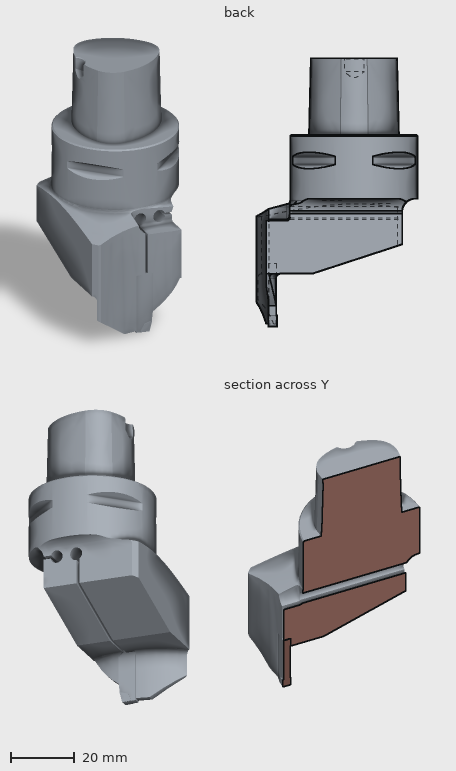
import cadquery as cq
import math

FAR = 50.4
DEEP = -100.8
overall_length = 84.0

shank_height = 24.0
lobe_reach = 15.0
flank_reach = 13.1
flank_half_angle = 28.0
shank_taper = 0.6

notch_radius = 3.8
notch_y = -14.5
notch_chamfer = 0.25
notch_floor_z = 19.9

collar_radius = 40.0 / 2
collar_height = 20.0
collar_chamfer = 0.4
slot_angles = (45, 135, 225, 315)
slot_z = -8.0
slot_floor_height = 2.5
slot_mouth_height = 5.2
slot_floor_distance = 17.6
slot_floor_fillet = 0.3

block_left = -15.1
block_front = -21.0
block_back = 10.4
block_bottom = -43.4
bottom_slope_left_z = -34.3
bottom_slope_right_x = 12.9
corner_chamfer = 1.6
flare_radius = 4.0
cone_angle = 15.0
cone_rim_z = -21.25
neck_fillet = 1.0

block_right = 30.6
concave_middle_x = 26.6
concave_middle_y = -0.8
concave_radius = 42.0
right_back_x = 27.4

pocket_x = 20.1
pocket_wall_y = -4.0
pocket_floor_z = -26.9
pocket_side_fillet = 4.4
pocket_end_fillet = 1.1

relief_radius = 2.0
relief_z = -24.4
outer_relief_y = 6.05
inner_relief_y = -0.5
slit_width = 1.0
back_slit_z = -24.2
jaw_slit_y = -1.2

blade_bottom = -59.1
blade_front = -20.0
blade_front_z = -51.2
blade_toe_y = -9.15
blade_heel_z = -53.5
blade_back_y = 9.9
blade_back_mid_y = 5.4
blade_back_mid_z = -49.7
convex_radius = 30.2
convex_middle_x = 24.3
convex_middle_y = -1.85
blade_fillet = 1.4
blade_overlap = 0.8

insert_left = convex_middle_x
insert_right = concave_middle_x
insert_front = -4.8
insert_back = 0.9
insert_top = -40.2
insert_tip_z = shank_height - overall_length
insert_front_rise = 0.2
insert_front_z = insert_tip_z + insert_front_rise
insert_tip_y = -0.3
clearance_chamfer = 1.3
head_back_y = 0.6
head_back_z = -56.45
head_top_y = -2.2
head_top_z = -57.3
head_front_y = -3.45
head_front_z = -59.5
head_overhang = 0.25


def box(x0, x1, y0, y1, z0, z1):
    return cq.Workplane("XY").box(x1 - x0, y1 - y0, z1 - z0, centered=False).translate((x0, y0, z0))


def extrude_along_x(outline_yz, x0, x1):
    return outline_yz.extrude(x1 - x0).translate((x0, 0, 0))


def polar(radius, degrees):
    return (radius * math.cos(math.radians(degrees)), radius * math.sin(math.radians(degrees)))


def lobed_outline(z, inset):
    """Closed outline of three lobe arcs and three flank arcs, tangent to each other."""
    half = math.radians(flank_half_angle)
    lobe_centre = (lobe_reach - flank_reach) / (0.5 - math.cos(math.pi / 6) * math.tan(half / 2))
    flank_centre = lobe_centre * (math.cos(math.pi / 6) / math.tan(half) - 0.5)
    flank_radius = flank_reach + flank_centre - inset
    joint_x = flank_radius * math.sin(half)
    joint_y = flank_radius * math.cos(half) - flank_centre
    joint_distance = math.hypot(joint_x, joint_y)
    joint_angle = math.degrees(math.atan2(joint_x, joint_y))
    outline = cq.Workplane("XY", origin=(0, 0, z)).moveTo(*polar(joint_distance, -90 - joint_angle))
    for flank_angle in (-90, 30, 150):
        outline = outline.threePointArc(
            polar(flank_reach - inset, flank_angle),
            polar(joint_distance, flank_angle + joint_angle),
        ).threePointArc(
            polar(lobe_reach - inset, flank_angle + 60),
            polar(joint_distance, flank_angle + 120 - joint_angle),
        )
    return outline.close().wire().val()


def make_shank():
    base = lobed_outline(0, 0)
    top = lobed_outline(shank_height, shank_taper)
    shank = cq.Workplane(cq.Solid.makeLoft([base, top], True))
    notch = (
        cq.Workplane("XZ")
        .moveTo(0, shank_height)
        .lineTo(notch_radius + notch_chamfer, shank_height)
        .lineTo(notch_radius, shank_height - notch_chamfer)
        .lineTo(notch_radius, notch_floor_z)
        .lineTo(0, notch_floor_z - notch_radius)
        .close()
        .revolve(360, (0, 0, 0), (0, 1, 0))
        .translate((0, notch_y, 0))
    )
    return shank.cut(notch)


def make_gripper_slots():
    depth = collar_radius - slot_floor_distance
    slot = (
        cq.Workplane("XZ")
        .moveTo(slot_floor_distance, slot_z - slot_floor_height / 2)
        .lineTo(slot_floor_distance + depth, slot_z - slot_mouth_height / 2)
        .lineTo(slot_floor_distance + depth, slot_z + slot_mouth_height / 2)
        .lineTo(slot_floor_distance, slot_z + slot_floor_height / 2)
        .close()
        .extrude(collar_radius, both=True)
        .edges("|Y and <X")
        .fillet(slot_floor_fillet)
    )
    return [slot.rotate((0, 0, 0), (0, 0, 1), angle) for angle in slot_angles]


def concave_y(x, side):
    """Y of the concave right side at a given X, on its front (-1) or back (1) half."""
    sag = x - concave_middle_x
    return concave_middle_y + side * math.sqrt(concave_radius**2 - (concave_radius - sag) ** 2)


def plan_prism(z0, z1):
    """Front and right sides of the block, open to the left and back where the walls flare."""
    chamfer_end_x = block_left + corner_chamfer
    return (
        cq.Workplane("XY", origin=(0, 0, z0))
        .moveTo(-FAR, FAR)
        .lineTo(-FAR, block_front + FAR + chamfer_end_x)
        .lineTo(chamfer_end_x, block_front)
        .lineTo(block_right - corner_chamfer, block_front)
        .lineTo(block_right, block_front + corner_chamfer)
        .lineTo(block_right, concave_y(block_right, -1))
        .threePointArc((concave_middle_x, concave_middle_y), (right_back_x, concave_y(right_back_x, 1)))
        .lineTo(right_back_x, FAR)
        .close()
        .extrude(z1 - z0)
    )


def flare_arc(wall, outward):
    """Middle and end of the quarter arc from a wall out to the collar's underside."""
    bend = flare_radius * (1 - math.sqrt(0.5))
    middle = (wall + outward * bend, -collar_height - bend)
    return middle, (wall + outward * flare_radius, -collar_height)


def side_prism():
    """Outline along Y: collar underside, flared left wall and sloped bottom."""
    return (
        cq.Workplane("XZ", origin=(0, FAR, 0))
        .moveTo(-FAR, 0)
        .lineTo(FAR, 0)
        .lineTo(FAR, block_bottom)
        .lineTo(bottom_slope_right_x, block_bottom)
        .lineTo(block_left, bottom_slope_left_z)
        .lineTo(block_left, -collar_height - flare_radius)
        .threePointArc(*flare_arc(block_left, -1))
        .lineTo(-FAR, -collar_height)
        .close()
        .extrude(2 * FAR)
    )


def back_prism():
    """Outline along X: collar underside and flared back wall."""
    outline = (
        cq.Workplane("YZ")
        .moveTo(FAR, 0)
        .lineTo(-FAR, 0)
        .lineTo(-FAR, block_bottom)
        .lineTo(block_back, block_bottom)
        .lineTo(block_back, -collar_height - flare_radius)
        .threePointArc(*flare_arc(block_back, 1))
        .lineTo(FAR, -collar_height)
        .close()
    )
    return extrude_along_x(outline, -FAR, FAR)


def round_envelope():
    """Collar cylinder, with the sloped top of the block falling away as a cone below it."""
    slope = math.tan(math.radians(cone_angle))
    tangent = neck_fillet * math.tan(math.radians((90 - cone_angle) / 2))
    centre = (collar_radius + neck_fillet, cone_rim_z + tangent)
    middle = polar(neck_fillet, 180 + (90 - cone_angle) / 2)
    foot = polar(tangent, -cone_angle)
    return (
        cq.Workplane("XZ")
        .moveTo(0, 0)
        .lineTo(collar_radius, 0)
        .lineTo(collar_radius, cone_rim_z + tangent)
        .threePointArc(
            (centre[0] + middle[0], centre[1] + middle[1]),
            (collar_radius + foot[0], cone_rim_z + foot[1]),
        )
        .lineTo(FAR, cone_rim_z - slope * (FAR - collar_radius))
        .lineTo(FAR, DEEP)
        .lineTo(0, DEEP)
        .close()
        .revolve(360, (0, 0, 0), (0, 1, 0))
    )


def make_pocket():
    return (
        box(pocket_x, FAR, pocket_wall_y, FAR, pocket_floor_z, 0)
        .edges("|X and <Y and <Z")
        .fillet(pocket_side_fillet)
        .faces("<X")
        .edges("<Z")
        .fillet(pocket_end_fillet)
    )


def make_collar_and_block():
    body = round_envelope()
    body = body.intersect(plan_prism(block_bottom, 0))
    body = body.intersect(side_prism()).intersect(back_prism())
    return body.faces(">Z").edges().chamfer(collar_chamfer)


def make_blade():
    bend = blade_fillet * (1 - math.sqrt(0.5))
    overlap_z = block_bottom + blade_overlap
    convex_body = (
        cq.Workplane("XZ")
        .moveTo(0, overlap_z)
        .lineTo(convex_radius + blade_fillet, overlap_z)
        .lineTo(convex_radius + blade_fillet, block_bottom)
        .threePointArc(
            (convex_radius + bend, block_bottom - bend),
            (convex_radius, block_bottom - blade_fillet),
        )
        .lineTo(convex_radius, blade_bottom)
        .lineTo(0, blade_bottom)
        .close()
        .revolve(360, (0, 0, 0), (0, 1, 0))
        .translate((convex_middle_x + convex_radius, convex_middle_y, 0))
    )
    outline = (
        cq.Workplane("YZ")
        .moveTo(blade_front - blade_fillet, overlap_z)
        .lineTo(blade_front - blade_fillet, block_bottom)
        .threePointArc(
            (blade_front - bend, block_bottom - bend),
            (blade_front, block_bottom - blade_fillet),
        )
        .lineTo(blade_front, blade_front_z)
        .lineTo(blade_toe_y, blade_bottom)
        .lineTo(insert_back, blade_bottom)
        .lineTo(insert_back, blade_heel_z)
        .threePointArc((blade_back_mid_y, blade_back_mid_z), (blade_back_y, block_bottom))
        .lineTo(blade_back_y, overlap_z)
        .close()
    )
    blade = extrude_along_x(outline, 0, FAR).intersect(convex_body)
    return blade.intersect(plan_prism(DEEP, 0))


def make_jaw_cuts():
    reliefs = extrude_along_x(
        cq.Workplane("YZ")
        .pushPoints([(outer_relief_y, relief_z), (inner_relief_y, relief_z)])
        .circle(relief_radius),
        -FAR,
        FAR,
    )
    half = slit_width / 2
    back_slit = box(-FAR, FAR, outer_relief_y, FAR, back_slit_z - half, back_slit_z + half)
    jaw_slit = box(-FAR, FAR, jaw_slit_y - half, jaw_slit_y + half, DEEP, relief_z)
    return reliefs.union(back_slit).union(jaw_slit)


def make_insert():
    shaft = cq.Workplane("YZ").polyline(
        [
            (insert_front, insert_top),
            (insert_back, insert_top),
            (insert_back, blade_heel_z),
            (head_back_y, head_back_z),
            (insert_tip_y, insert_tip_z),
            (insert_front, insert_front_z),
        ]
    ).close()
    head = cq.Workplane("YZ").polyline(
        [
            (head_back_y, head_back_z),
            (head_top_y, head_top_z),
            (head_front_y, head_front_z),
            (head_front_y, insert_front_z),
            (insert_tip_y, insert_tip_z),
        ]
    ).close()
    insert = extrude_along_x(shaft, insert_left, insert_right)
    return insert.union(extrude_along_x(head, insert_left - head_overhang, insert_right + head_overhang))


def make_seat():
    """Insert seat, open to the right, with the blade's root fillet cleared away beside the insert."""
    seat = box(insert_left, FAR, insert_front, insert_back, DEEP, insert_top)
    clearance = box(0, FAR, insert_front, insert_back, DEEP, block_bottom)
    clearance = clearance.edges("|X and >Y and >Z").chamfer(clearance_chamfer)
    return seat.union(clearance)


def make_holder():
    holder = make_collar_and_block().union(make_blade()).union(make_shank())
    for cutter in [*make_gripper_slots(), make_pocket(), make_jaw_cuts(), make_seat()]:
        holder = holder.cut(cutter)
    return holder


holder = make_holder()
insert = make_insert()
result = cq.Compound.makeCompound([*holder.solids().vals(), *insert.solids().vals()])